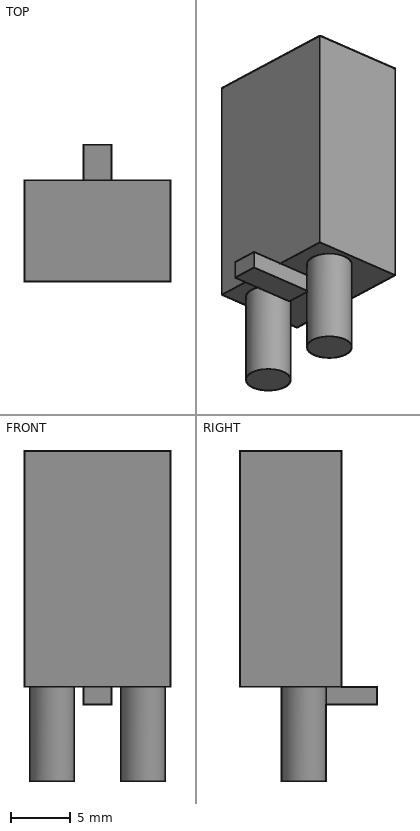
import cadquery as cq

body_width = 12.4
body_depth = 8.6
body_height = 20.0

pin_diameter = 3.8
pin_length = 8.0
pin_spacing = 7.7
pin_center_y = 5.4

tab_width = 2.4
tab_thickness = 1.5
tab_overhang = 3.0
tab_front_y = pin_center_y


def make_body():
    return cq.Workplane("XY").box(
        body_width, body_depth, body_height, centered=(True, False, False)
    )


def make_pins():
    pin_centers = [(side * pin_spacing / 2, pin_center_y) for side in (-1, 1)]
    return (
        cq.Workplane("XY")
        .pushPoints(pin_centers)
        .circle(pin_diameter / 2)
        .extrude(-pin_length)
    )


def make_tab():
    tab_length = body_depth + tab_overhang - tab_front_y
    return (
        cq.Workplane("XY")
        .box(tab_width, tab_length, tab_thickness, centered=(True, False, False))
        .translate((0, tab_front_y, -tab_thickness))
    )


result = make_body().union(make_pins()).union(make_tab())